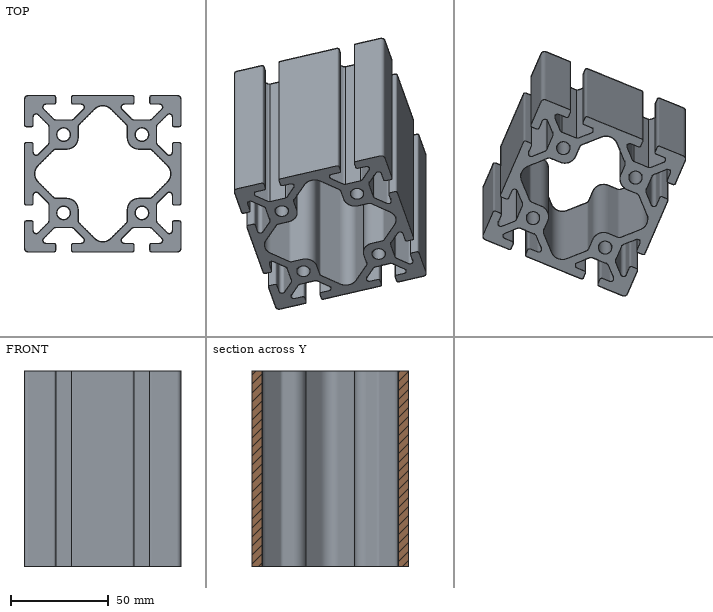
import cadquery as cq
import math

side = 80.0
length = 100.0
half_side = side / 2
outer_corner_radius = 2.0

slot_offset = side / 4
face_angles = (0, 90, 180, 270)

selection_tolerance = 0.01

slot_opening = 8.0
lip_thickness = 4.5
slot_depth = 12.5
slot_floor_width = 9.3
slot_pocket_radius = 1.5
slot_floor_radius = 2.0
lip_edge_radius = 1.0

core_half_width = half_side - slot_depth - slot_offset
core_hole_diameter = 6.8
core_corner_radius = 6.0

cavity_wall = 5.3
web_thickness = 4.0
web_root_radius = 2.0


def turned(x, y, angle):
    """Point (x, y) turned about the bar axis by an angle in degrees."""
    cosine = math.cos(math.radians(angle))
    sine = math.sin(math.radians(angle))
    return (x * cosine - y * sine, x * sine + y * cosine)


def z_edges_at(body, points):
    """Select the Z edges through the given XY points and their copies on all four quarters."""
    selector = None
    for x, y in points:
        for angle in face_angles:
            edge_x, edge_y = turned(x, y, angle)
            box = cq.selectors.BoxSelector(
                (edge_x - selection_tolerance, edge_y - selection_tolerance, 0),
                (edge_x + selection_tolerance, edge_y + selection_tolerance, length),
            )
            selector = box if selector is None else selector + box
    return body.edges("|Z").edges(selector)


def make_bar():
    """Plain square bar with rounded long edges."""
    bar = cq.Workplane("XY").rect(side, side).extrude(length)
    return bar.edges("|Z").fillet(outer_corner_radius)


def make_slot():
    """Cutter for one T-slot in the +Y face, centred on X = 0."""
    half_floor = slot_floor_width / 2
    lip_y = half_side - lip_thickness
    floor_y = half_side - slot_depth
    half_pocket = half_floor + lip_y - floor_y

    pocket = (
        cq.Workplane("XY")
        .polyline([
            (-half_floor, floor_y),
            (half_floor, floor_y),
            (half_pocket, lip_y),
            (-half_pocket, lip_y),
        ])
        .close()
        .extrude(length)
    )
    pocket = pocket.edges("|Z and >Y").fillet(slot_pocket_radius)
    pocket = pocket.edges("|Z and <Y").fillet(slot_floor_radius)
    opening = (
        cq.Workplane("XY")
        .center(0, half_side - slot_depth / 2)
        .rect(slot_opening, slot_depth)
        .extrude(length)
    )
    return pocket.union(opening)


def cut_slots(body):
    """Cut two T-slots into each of the four faces."""
    for sign in (-1, 1):
        slot = make_slot().translate((sign * slot_offset, 0, 0))
        for angle in face_angles:
            body = body.cut(slot.rotate((0, 0, 0), (0, 0, 1), angle))
    return body


def round_lips(body):
    """Round the outer and inner edges of every slot lip."""
    lip_points = []
    for along in (half_side, half_side - lip_thickness):
        for edge_sign in (-1, 1):
            across = slot_offset + edge_sign * slot_opening / 2
            lip_points += [(across, along), (along, across)]
    return z_edges_at(body, lip_points).fillet(lip_edge_radius)


def make_cavity():
    """Cutter for the central cavity: a diamond with round tips, less the four screw cores."""
    tip = half_side - cavity_wall
    inner_core = slot_offset - core_half_width
    slot_flank_sum = (half_side - slot_depth) + (slot_offset - slot_floor_width / 2)
    cavity_flank_sum = slot_flank_sum - web_thickness * math.sqrt(2)
    web_root = cavity_flank_sum - inner_core

    tip_radius = (cavity_flank_sum - tip) / (math.sqrt(2) - 1)
    tip_half_width = tip_radius / math.sqrt(2)
    tip_start = cavity_flank_sum - tip_half_width

    sketch = cq.Workplane("XY").moveTo(tip_start, -tip_half_width)
    for angle in face_angles:
        sketch = (
            sketch
            .threePointArc(turned(tip, 0, angle), turned(tip_start, tip_half_width, angle))
            .lineTo(*turned(web_root, inner_core, angle))
            .lineTo(*turned(inner_core, inner_core, angle))
            .lineTo(*turned(inner_core, web_root, angle))
            .lineTo(*turned(tip_half_width, tip_start, angle))
        )
    cavity = sketch.close().extrude(length)

    cavity = z_edges_at(cavity, [(inner_core, inner_core)]).fillet(core_corner_radius)
    web_roots = [(web_root, inner_core), (inner_core, web_root)]
    return z_edges_at(cavity, web_roots).fillet(web_root_radius)


def make_core_holes():
    """Cutter for the through holes along the four screw cores."""
    spacing = 2 * slot_offset
    return (
        cq.Workplane("XY")
        .rarray(spacing, spacing, 2, 2)
        .circle(core_hole_diameter / 2)
        .extrude(length)
    )


result = round_lips(cut_slots(make_bar()))
result = result.cut(make_cavity())
result = result.cut(make_core_holes())